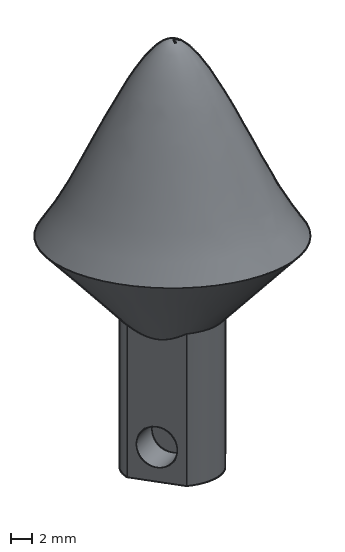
import cadquery as cq

total_height = 43.5
rim_radius = 13.0
rim_height = 23.5

stem_radius = 5.0
flat_offset = 4.0

hole_diameter = 4.15
hole_height = 3.52
hole_depth = flat_offset

nose_pole = (2.9, total_height)
flank_pole = (6.8, 34.75)
flare_pole = (9.55, 28.0)


def make_stem():
    """Round bar with one flat along its whole length."""
    bar_height = rim_height - (rim_radius - stem_radius)
    bar = cq.Workplane("XY").circle(stem_radius).extrude(bar_height)
    flat_cutter = (
        cq.Workplane("XY")
        .center(0, -flat_offset - stem_radius)
        .rect(2 * stem_radius, 2 * stem_radius)
        .extrude(bar_height)
    )
    return bar.cut(flat_cutter)


def make_head():
    """Bullet-shaped head over a 45 degree cone whose point is buried in the stem."""
    cone_point_height = rim_height - rim_radius
    tip = (0, total_height)
    rim = (rim_radius, rim_height)
    profile = (
        cq.Workplane("XZ")
        .moveTo(0, cone_point_height)
        .lineTo(*tip)
        .bezier([tip, nose_pole, flank_pole, flare_pole, rim])
        .close()
    )
    return profile.revolve(360, (0, 0, 0), (0, 1, 0))


def make_cross_hole():
    """Flat-bottomed cylinder running in +Y from the flat."""
    return (
        cq.Workplane("XZ", origin=(0, -flat_offset, hole_height))
        .circle(hole_diameter / 2)
        .extrude(-hole_depth)
    )


result = make_stem().union(make_head()).cut(make_cross_hole())